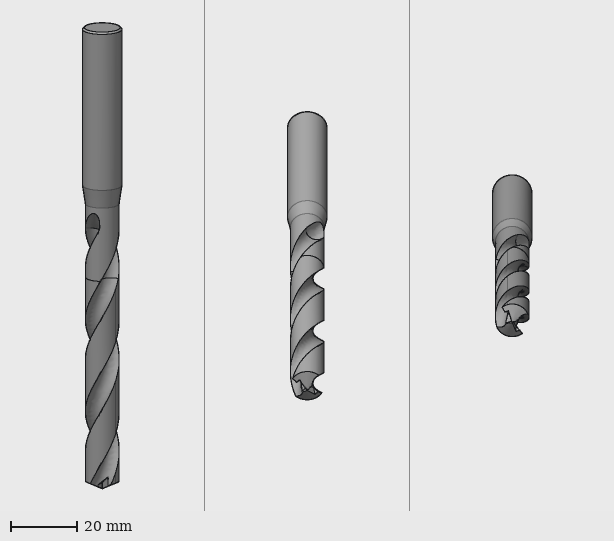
import cadquery as cq
import math

AXIS = ((0, 0, 0), (0, 0, 1))

TOTAL_LENGTH = 144
POINT_HEIGHT = 2.6
JOINT_Z = 66.1
FLUTE_END_Z = 81.4
NECK_TOP_Z = 89.0
SHANK_BOTTOM_Z = 94.8

SHANK_RADIUS = 12.0 / 2
DRILL_RADIUS = 10.2 / 2
SHANK_CHAMFER = 0.6

FLUTE_COUNT = 2
FLUTE_PITCH = 57.3
FLUTE_HALF_WIDTH_ANGLE = 38
WEB_RADIUS = 1.7
FLUTE_REFERENCE_Z = 12.0
FLUTE_OVERLAP = 1.5

RUNOUT_HEIGHT = 7.2
RUNOUT_SLOPE = 0.48

GASH_SIDE_HEIGHT = 1.9
GASH_PEAK_X = 2.5
GASH_PEAK_Z = 4.2
GASH_OUTER_X = 4.2
GASH_WALL_TILT = 6
GASH_CUT_LENGTH = 5.8

FLUTE_EDGE_X = DRILL_RADIUS * math.cos(math.radians(FLUTE_HALF_WIDTH_ANGLE))
FLUTE_CENTRE_RADIUS = (DRILL_RADIUS**2 - WEB_RADIUS**2) / (2 * (FLUTE_EDGE_X - WEB_RADIUS))
FLUTE_RADIUS = FLUTE_CENTRE_RADIUS - WEB_RADIUS


def flute_angle(z):
    """Angle in degrees around Z of the first flute at height z."""
    return 360 * (z - FLUTE_REFERENCE_Z) / FLUTE_PITCH


def helical_flute(start_z, end_z):
    """Cutter for the first flute between two heights."""
    length = end_z - start_z
    section = cq.Workplane("XY").moveTo(FLUTE_CENTRE_RADIUS, 0).circle(FLUTE_RADIUS)
    cutter = section.twistExtrude(length, 360 * length / FLUTE_PITCH)
    return cutter.rotate(*AXIS, flute_angle(start_z)).translate((0, 0, start_z))


def flute_runout():
    """Cutter that continues the first flute straight out through the drill surface."""
    tangential_rise = 2 * math.pi * FLUTE_CENTRE_RADIUS / FLUTE_PITCH
    path = cq.Vector(RUNOUT_SLOPE, tangential_rise, 1) * RUNOUT_HEIGHT
    section = cq.Wire.makeCircle(FLUTE_RADIUS, cq.Vector(FLUTE_CENTRE_RADIUS, 0, 0), cq.Vector(0, 0, 1))
    cutter = cq.Workplane(cq.Solid.extrudeLinear(section, [], path))
    return cutter.rotate(*AXIS, flute_angle(FLUTE_END_Z)).translate((0, 0, FLUTE_END_Z))


def gash():
    """Cutter for one gash, whose leaning inner wall starts at the tip."""
    tilt = math.radians(GASH_WALL_TILT)
    wall = cq.Plane(origin=(0, 0, 0), xDir=(1, 0, 0), normal=(0, -math.cos(tilt), -math.sin(tilt)))
    outline = [
        (0, 0),
        (0, GASH_SIDE_HEIGHT),
        (GASH_PEAK_X, GASH_PEAK_Z),
        (GASH_OUTER_X, 0),
    ]
    return cq.Workplane(wall).polyline(outline).close().extrude(GASH_CUT_LENGTH)


def cut_around(body, cutter):
    """Cut the same feature into a body once per flute, evenly about the axis."""
    for index in range(FLUTE_COUNT):
        body = body.cut(cutter.rotate(*AXIS, index * 360 / FLUTE_COUNT))
    return body


def make_shank():
    """Upper body: chamfered shank, cone and neck with the flute ends."""
    outline = [
        (0, JOINT_Z),
        (DRILL_RADIUS, JOINT_Z),
        (DRILL_RADIUS, NECK_TOP_Z),
        (SHANK_RADIUS, SHANK_BOTTOM_Z),
        (SHANK_RADIUS, TOTAL_LENGTH - SHANK_CHAMFER),
        (SHANK_RADIUS - SHANK_CHAMFER, TOTAL_LENGTH),
        (0, TOTAL_LENGTH),
    ]
    blank = cq.Workplane("XZ").polyline(outline).close().revolve(360, (0, 0), (0, 1))
    fluted = cut_around(blank, helical_flute(JOINT_Z - FLUTE_OVERLAP, FLUTE_END_Z))
    return cut_around(fluted, flute_runout())


def make_cutting_head():
    """Lower body: fluted drill with a conical point."""
    outline = [(0, 0), (DRILL_RADIUS, POINT_HEIGHT), (DRILL_RADIUS, JOINT_Z), (0, JOINT_Z)]
    blank = cq.Workplane("XZ").polyline(outline).close().revolve(360, (0, 0), (0, 1))
    fluted = cut_around(blank, helical_flute(-FLUTE_OVERLAP, JOINT_Z + FLUTE_OVERLAP))
    return cut_around(fluted, gash())


shank = make_shank()
cutting_head = make_cutting_head()

result = cq.Compound.makeCompound([shank.val(), cutting_head.val()])